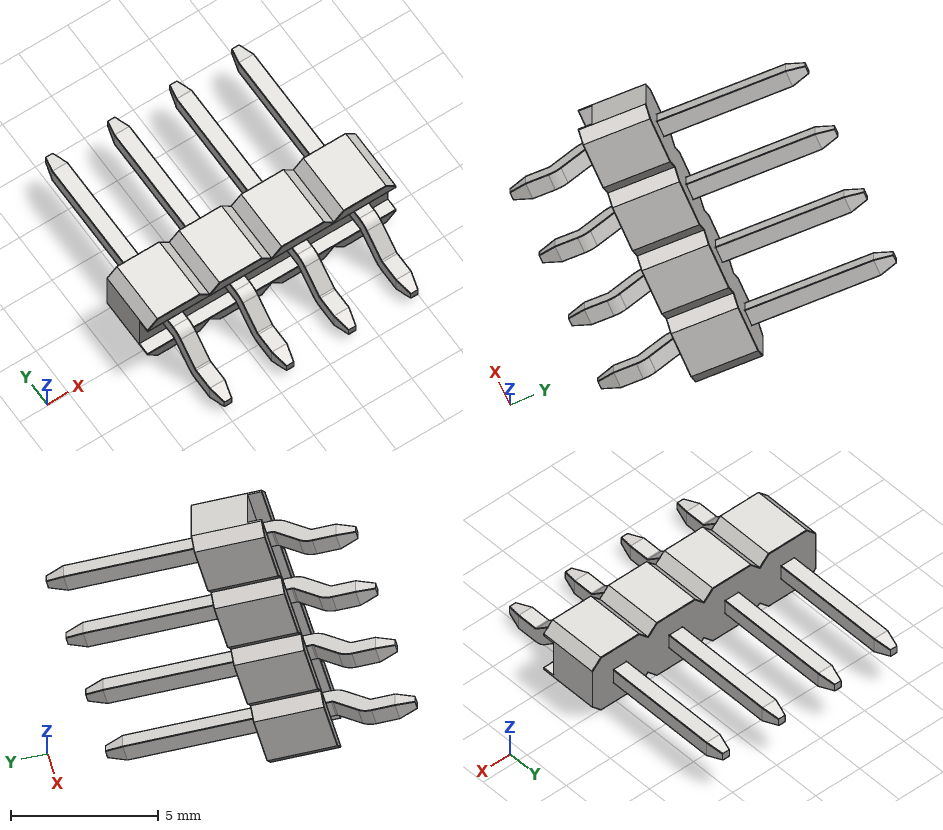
import cadquery as cq
import math

POSITIONS = 4
PITCH = 2.54
ROW_LENGTH = POSITIONS * PITCH

HOUSING_HEIGHT = 2.5
HOUSING_DEPTH = 2.5
CORNER_CHAMFER = 0.4
SLOT_HEIGHT = 1.5
SLOT_DEPTH = 0.5
HOUSING_EDGE_CHAMFER = 0.02

PIN_SIZE = 0.63
PIN_LENGTH = 10.9
PIN_EDGE_CHAMFER = 0.02
TAIL_REACH = 3.0
TIP_LENGTH = 0.65
TIP_END_SIZE = 0.32
BEND_ANGLE = 40.0
BEND_INNER_RADIUS = 0.1
BEND_START = 0.1

PIN_BACK = PIN_LENGTH / 2
PIN_FRONT = -PIN_LENGTH / 2
WIRE_BACK = PIN_BACK - TIP_LENGTH
WIRE_FRONT = PIN_FRONT + TIP_LENGTH
HOUSING_FRONT = PIN_FRONT + TAIL_REACH
HOUSING_BACK = HOUSING_FRONT + HOUSING_DEPTH
FOOT_Z = (PIN_SIZE - HOUSING_HEIGHT) / 2
PIN_XS = [(index - (POSITIONS - 1) / 2) * PITCH for index in range(POSITIONS)]


def pin_section(size, y, z):
    """Square outline with chamfered corners, centred on the given Y and Z and facing -Y."""
    half = size / 2
    flat = half - PIN_EDGE_CHAMFER
    corners = [
        (flat, half), (half, flat), (half, -flat), (flat, -half),
        (-flat, -half), (-half, -flat), (-half, flat), (-flat, half),
    ]
    return cq.Workplane("XZ", origin=(0, y, z)).polyline(corners).close()


def housing_segment(x):
    """One octagonal segment of the housing with eased front and back outlines."""
    return (
        cq.Workplane("XY")
        .box(PITCH, HOUSING_DEPTH, HOUSING_HEIGHT)
        .edges("|Y")
        .chamfer(CORNER_CHAMFER)
        .edges("(<Y or >Y) and (not |Z)")
        .chamfer(HOUSING_EDGE_CHAMFER)
        .translate((x, (HOUSING_FRONT + HOUSING_BACK) / 2, 0))
    )


def make_slot():
    """Material removed along the row for the front slot, flared where it opens to the front."""
    mouth_height = SLOT_HEIGHT + 2 * HOUSING_EDGE_CHAMFER
    half_outline = [
        (HOUSING_FRONT, mouth_height / 2),
        (HOUSING_FRONT + HOUSING_EDGE_CHAMFER, SLOT_HEIGHT / 2),
        (HOUSING_FRONT + SLOT_DEPTH, SLOT_HEIGHT / 2),
    ]
    mirrored = [(y, -z) for y, z in reversed(half_outline)]
    return cq.Workplane("YZ").polyline(half_outline + mirrored).close().extrude(ROW_LENGTH / 2, both=True)


def make_housing():
    """Joined segments with a front slot along the row and a fitted hole for each pin."""
    body = housing_segment(PIN_XS[0])
    for x in PIN_XS[1:]:
        body = body.union(housing_segment(x))
    body = body.cut(make_slot())

    hole = pin_section(PIN_SIZE, HOUSING_BACK, 0).extrude(HOUSING_DEPTH)
    for x in PIN_XS:
        body = body.cut(hole.translate((x, 0, 0)))
    return body


def make_wire():
    """Square-section wire of one pin at X = 0, following the double bend between straight ends."""
    angle = math.radians(BEND_ANGLE)
    radius = BEND_INNER_RADIUS + PIN_SIZE / 2
    arc_run = radius * math.sin(angle)
    arc_drop = radius * (1 - math.cos(angle))
    half_run = radius * math.sin(angle / 2)
    half_drop = radius * (1 - math.cos(angle / 2))
    slope_drop = -FOOT_Z - 2 * arc_drop
    slope_run = slope_drop / math.tan(angle)

    bend_y = HOUSING_FRONT - BEND_START
    slope_start_y = bend_y - arc_run
    slope_end_y = slope_start_y - slope_run
    foot_y = slope_end_y - arc_run

    path = (
        cq.Workplane("YZ")
        .moveTo(WIRE_BACK, 0)
        .lineTo(bend_y, 0)
        .threePointArc((bend_y - half_run, -half_drop), (slope_start_y, -arc_drop))
        .lineTo(slope_end_y, FOOT_Z + arc_drop)
        .threePointArc((foot_y + half_run, FOOT_Z + half_drop), (foot_y, FOOT_Z))
        .lineTo(WIRE_FRONT, FOOT_Z)
    )
    return pin_section(PIN_SIZE, WIRE_BACK, 0).sweep(path)


def make_tip(base_y, end_y, z):
    """Tapered tip from the full wire section at base_y down to its small end at end_y."""
    base = pin_section(PIN_SIZE, base_y, z).val()
    end = pin_section(TIP_END_SIZE, end_y, z).val()
    return cq.Workplane(cq.Solid.makeLoft([base, end], ruled=True))


def make_pin(x):
    """One bent pin with a tapered tip at each end, placed at the given X."""
    back_tip = make_tip(WIRE_BACK, PIN_BACK, 0)
    front_tip = make_tip(WIRE_FRONT, PIN_FRONT, FOOT_Z)
    pin = make_wire().union(back_tip).union(front_tip)
    return pin.translate((x, 0, 0))


housing = make_housing()
pins = [make_pin(x) for x in PIN_XS]

result = cq.Compound.makeCompound([housing.val(), *[pin.val() for pin in pins]])